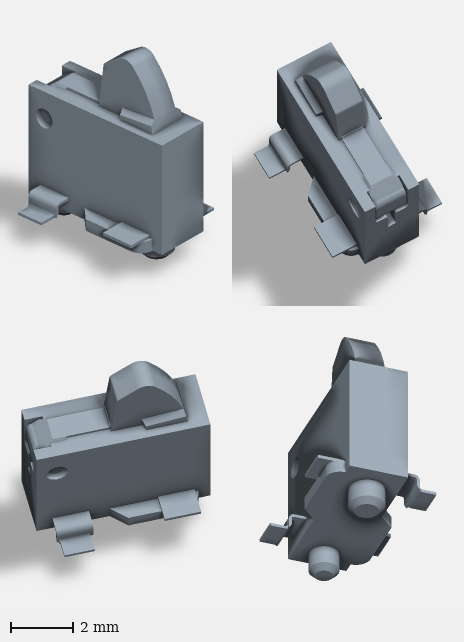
import cadquery as cq
import math

BODY_LENGTH = 5.76
BODY_WIDTH = 2.0
BODY_HEIGHT = 4.09
HALF_LENGTH = BODY_LENGTH / 2
HALF_WIDTH = BODY_WIDTH / 2

PEGS = [(-2.245, 1.0), (1.75, 1.2)]
PEG_LENGTH = 0.82
PEG_CHAMFER = 0.2

FLANGE_HEIGHT = 0.43
FLANGE_REACH = 1.5
FLANGE_START = -0.46
FLANGE_END = 2.47
FLANGE_CORNER = FLANGE_REACH - HALF_WIDTH

TERMINAL_X = 1.75
TERMINAL_WIDTH = 1.21
TERMINAL_TOP = 0.55
FLAT_REACH = 1.895
SHEET = 0.1
BEND_INNER = 0.09
BEND_OUTER = BEND_INNER + SHEET
FOOT_WIDTH = 1.0
FOOT_REACH = 2.2
FOOT_GUSSET = 0.06
WALL_INSIDE = FLANGE_REACH
WALL_OUTSIDE = WALL_INSIDE + SHEET

WINDOW_WIDTH = 1.21
WINDOW_DEPTH = 0.595
WINDOW_FLOOR = 2.8
WINDOW_CORNER = 0.14
SLOT_WIDTH = 0.305
SLOT_FLOOR = 1.995
SLOT_CORNER = 0.04

PIVOT_X = -2.195
PIVOT_Z = 3.09
BORE_DIAMETER = 0.7
PIN_DIAMETER = 0.6
PIN_RECESS = 0.2
GAP_START_ANGLE = -105
GAP_END_ANGLE = 0

END_WIDTH = 1.11
END_RADIUS = 0.64
END_BOTTOM = 2.75
END_SHOULDER_Z = 3.66
END_SLOPE_X = -2.65
END_SLOPE_Z = 3.885
END_STOP_X = -1.725
ARM_WIDTH = 0.795
ARM_TOP = 4.18
ARM_FILLET = 0.09
EDGE_CHAMFER = (END_WIDTH - ARM_WIDTH) / 2

HOOK_WIDTH = 1.0
HOOK_ROOT_Z = 3.195
HOOK_FOOT_X = -0.29
HOOK_SHOULDER_X = -0.085
HOOK_SHOULDER_Z = 5.765
HOOK_RISE = 2.195
HOOK_TOP = BODY_HEIGHT + HOOK_RISE
NOSE_X = 0.845
NOSE_RADIUS = 0.45
NOSE_START_ANGLE = 33.0
NOSE_END_ANGLE = 46.5
HOOK_BACK_X = 2.215
SHOULDER_RADIUS = 0.115

RIB_WIDTH = 1.435
RIB_START_X = 0.73
RIB_INNER_Z = 4.43
RIB_DROP = 0.14
RIB_TAPER = 0.07
RIB_TILT = 4.4


def box(x0, x1, y0, y1, z0, z1):
    return cq.Workplane("XY").box(x1 - x0, y1 - y0, z1 - z0, centered=False).translate((x0, y0, z0))


def extrude_across(outline, width):
    """Extrude a closed XZ outline by the given width, centred on Y = 0."""
    return outline.extrude(width / 2, both=True)


def half_turn(shape):
    return shape.rotate((0, 0, 0), (0, 0, 1), 180)


def peg(x, diameter):
    blank = cq.Workplane("XY").center(x, 0).circle(diameter / 2).extrude(-PEG_LENGTH)
    return blank.faces("<Z").chamfer(PEG_CHAMFER)


def flange():
    """Flange on the -Y side: bevelled at one end, rounded at the other."""
    return (
        cq.Workplane("XY")
        .moveTo(FLANGE_START, 0)
        .lineTo(FLANGE_START, -HALF_WIDTH)
        .lineTo(FLANGE_START + FLANGE_CORNER, -FLANGE_REACH)
        .lineTo(FLANGE_END - FLANGE_CORNER, -FLANGE_REACH)
        .radiusArc((FLANGE_END, -HALF_WIDTH), -FLANGE_CORNER)
        .lineTo(FLANGE_END, 0)
        .close()
        .extrude(FLANGE_HEIGHT)
    )


def flat_terminal():
    """Straight terminal on the -Y side, lying on the flange."""
    half = TERMINAL_WIDTH / 2
    return box(TERMINAL_X - half, TERMINAL_X + half, -FLAT_REACH, 0, FLANGE_HEIGHT, TERMINAL_TOP)


def bent_terminal():
    """Terminal on the +Y side, stepped down to a narrower solder foot at Z = 0."""
    strip = (
        cq.Workplane("YZ")
        .moveTo(0, TERMINAL_TOP)
        .lineTo(WALL_OUTSIDE - BEND_OUTER, TERMINAL_TOP)
        .radiusArc((WALL_OUTSIDE, TERMINAL_TOP - BEND_OUTER), BEND_OUTER)
        .lineTo(WALL_OUTSIDE, BEND_OUTER)
        .radiusArc((WALL_OUTSIDE + BEND_INNER, SHEET), -BEND_INNER)
        .lineTo(FOOT_REACH, SHEET)
        .lineTo(FOOT_REACH, 0)
        .lineTo(WALL_INSIDE + BEND_OUTER, 0)
        .radiusArc((WALL_INSIDE, BEND_OUTER), BEND_OUTER)
        .lineTo(WALL_INSIDE, TERMINAL_TOP - BEND_OUTER)
        .radiusArc((WALL_INSIDE - BEND_INNER, TERMINAL_TOP - SHEET), -BEND_INNER)
        .lineTo(0, TERMINAL_TOP - SHEET)
        .close()
        .extrude(TERMINAL_WIDTH / 2, both=True)
        .translate((TERMINAL_X, 0, 0))
    )
    half_wide = TERMINAL_WIDTH / 2
    half_foot = FOOT_WIDTH / 2
    wide_zone = box(TERMINAL_X - half_wide, TERMINAL_X + half_wide, 0, WALL_OUTSIDE, 0, TERMINAL_TOP)
    foot_zone = box(TERMINAL_X - half_foot, TERMINAL_X + half_foot, 0, FOOT_REACH, 0, TERMINAL_TOP)
    return strip.intersect(wide_zone.union(foot_zone).union(foot_gusset()))


def foot_gusset():
    """Small triangular flare (in plan) where the outer edge of the foot meets the upright."""
    foot_edge = TERMINAL_X + FOOT_WIDTH / 2
    return (
        cq.Workplane("XY")
        .polyline([
            (foot_edge, WALL_OUTSIDE),
            (foot_edge + FOOT_GUSSET, WALL_OUTSIDE),
            (foot_edge, WALL_OUTSIDE + BEND_INNER),
        ])
        .close()
        .extrude(TERMINAL_TOP)
    )


def end_window():
    half = WINDOW_WIDTH / 2
    window = box(-HALF_LENGTH, -HALF_LENGTH + WINDOW_DEPTH, -half, half, WINDOW_FLOOR, BODY_HEIGHT)
    window = window.edges("|X and <Z").fillet(WINDOW_CORNER)
    half = SLOT_WIDTH / 2
    slot = box(-HALF_LENGTH, -HALF_LENGTH + WINDOW_DEPTH, -half, half, SLOT_FLOOR, WINDOW_FLOOR)
    slot = slot.edges("|X and <Z").fillet(SLOT_CORNER)
    mouth_drop = WINDOW_FLOOR - END_BOTTOM
    mouth = (
        cq.Workplane("YZ")
        .polyline([
            (-half, END_BOTTOM),
            (half, END_BOTTOM),
            (half + mouth_drop, WINDOW_FLOOR),
            (-half - mouth_drop, WINDOW_FLOOR),
        ])
        .close()
        .extrude(WINDOW_DEPTH)
        .translate((-HALF_LENGTH, 0, 0))
    )
    return window.union(slot).union(mouth)


def pivot_cylinder(diameter, width):
    return extrude_across(cq.Workplane("XZ").center(PIVOT_X, PIVOT_Z).circle(diameter / 2), width)


def pivot_gap():
    """Open crescent between pin and bore, on the lower inner side of the pivot."""
    def on_circle(diameter, angle):
        a = math.radians(angle)
        return (PIVOT_X + diameter / 2 * math.cos(a), PIVOT_Z + diameter / 2 * math.sin(a))

    middle = (GAP_START_ANGLE + GAP_END_ANGLE) / 2
    crescent = (
        cq.Workplane("XZ")
        .moveTo(*on_circle(PIN_DIAMETER, GAP_START_ANGLE))
        .threePointArc(on_circle(PIN_DIAMETER, middle), on_circle(PIN_DIAMETER, GAP_END_ANGLE))
        .lineTo(*on_circle(BORE_DIAMETER, GAP_END_ANGLE))
        .threePointArc(on_circle(BORE_DIAMETER, middle), on_circle(BORE_DIAMETER, GAP_START_ANGLE))
        .close()
    )
    return extrude_across(crescent, BODY_WIDTH)


def lever_end():
    front_x = PIVOT_X - END_RADIUS
    bottom_x = PIVOT_X - math.sqrt(END_RADIUS**2 - (PIVOT_Z - END_BOTTOM) ** 2)
    outline = (
        cq.Workplane("XZ")
        .moveTo(END_STOP_X, END_BOTTOM)
        .lineTo(bottom_x, END_BOTTOM)
        .radiusArc((front_x, PIVOT_Z), END_RADIUS)
        .lineTo(front_x, END_SHOULDER_Z)
        .tangentArcPoint((END_SLOPE_X, END_SLOPE_Z), relative=False)
        .lineTo(PIVOT_X, ARM_TOP)
        .lineTo(END_STOP_X, ARM_TOP)
        .close()
    )
    half = END_WIDTH / 2
    section = (
        box(front_x, END_STOP_X, -half, half, END_BOTTOM, ARM_TOP)
        .edges("|X and >Z").chamfer(EDGE_CHAMFER)
    )
    plan = (
        box(front_x, END_STOP_X, -half, half, END_BOTTOM, ARM_TOP)
        .edges("|Z and >X").chamfer(EDGE_CHAMFER)
    )
    return extrude_across(outline, END_WIDTH).intersect(section).intersect(plan)


def arm():
    outline = (
        cq.Workplane("XZ")
        .moveTo(PIVOT_X, HOOK_ROOT_Z)
        .lineTo(PIVOT_X, ARM_TOP)
        .lineTo(HOOK_FOOT_X - ARM_FILLET, ARM_TOP)
        .radiusArc((HOOK_FOOT_X, ARM_TOP + ARM_FILLET), -ARM_FILLET)
        .lineTo(0, ARM_TOP + ARM_FILLET)
        .lineTo(0, HOOK_ROOT_Z)
        .close()
    )
    return extrude_across(outline, ARM_WIDTH)


def hook_blank(width):
    """Hook silhouette: sloped front, rounded nose and a long convex back."""
    def on_nose(angle):
        a = math.radians(angle)
        return (NOSE_X + NOSE_RADIUS * math.sin(a), HOOK_TOP - NOSE_RADIUS * (1 - math.cos(a)))

    outline = (
        cq.Workplane("XZ")
        .moveTo(HOOK_FOOT_X, HOOK_ROOT_Z)
        .lineTo(HOOK_FOOT_X, BODY_HEIGHT)
        .lineTo(HOOK_SHOULDER_X, HOOK_SHOULDER_Z)
        .lineTo(*on_nose(-NOSE_START_ANGLE))
        .threePointArc((NOSE_X, HOOK_TOP), on_nose(NOSE_END_ANGLE))
        .tangentArcPoint((HOOK_BACK_X, BODY_HEIGHT), relative=False)
        .lineTo(HOOK_BACK_X, HOOK_ROOT_Z)
        .close()
    )
    shoulder = cq.selectors.NearestToPointSelector((HOOK_SHOULDER_X, 0, HOOK_SHOULDER_Z))
    return extrude_across(outline, width).edges("|Y").edges(shoulder).fillet(SHOULDER_RADIUS)


def hook_ribs():
    """Ribs on both hook sides, with a sloped top and tapered start, tilted up along the hook."""
    half = RIB_WIDTH / 2
    inner = HOOK_WIDTH / 2
    edge_z = RIB_INNER_Z - RIB_DROP
    section = (
        cq.Workplane("YZ")
        .polyline([
            (-half, HOOK_ROOT_Z), (-half, edge_z), (-inner, RIB_INNER_Z),
            (inner, RIB_INNER_Z), (half, edge_z), (half, HOOK_ROOT_Z),
        ])
        .close()
        .extrude(HOOK_BACK_X)
    )
    plan = (
        cq.Workplane("XY")
        .polyline([
            (RIB_START_X, -inner), (RIB_START_X + RIB_TAPER, -half), (HOOK_BACK_X, -half),
            (HOOK_BACK_X, half), (RIB_START_X + RIB_TAPER, half), (RIB_START_X, inner),
        ])
        .close()
        .extrude(HOOK_TOP)
    )
    pivot = (RIB_START_X, 0, RIB_INNER_Z)
    pivot_end = (RIB_START_X, 1, RIB_INNER_Z)
    ribs = section.intersect(plan).rotate(pivot, pivot_end, -RIB_TILT)
    return ribs.intersect(hook_blank(RIB_WIDTH))


body = box(-HALF_LENGTH, HALF_LENGTH, -HALF_WIDTH, HALF_WIDTH, 0, BODY_HEIGHT)
body = body.cut(end_window()).cut(pivot_cylinder(BORE_DIAMETER, BODY_WIDTH))

for lever_piece in (
    lever_end(),
    pivot_cylinder(PIN_DIAMETER, BODY_WIDTH - 2 * PIN_RECESS),
    arm(),
    hook_blank(HOOK_WIDTH),
    hook_ribs(),
):
    body = body.union(lever_piece)
body = body.cut(pivot_gap())

for side_piece in (flange(), flat_terminal(), bent_terminal()):
    body = body.union(side_piece).union(half_turn(side_piece))

for peg_x, peg_diameter in PEGS:
    body = body.union(peg(peg_x, peg_diameter))

result = body